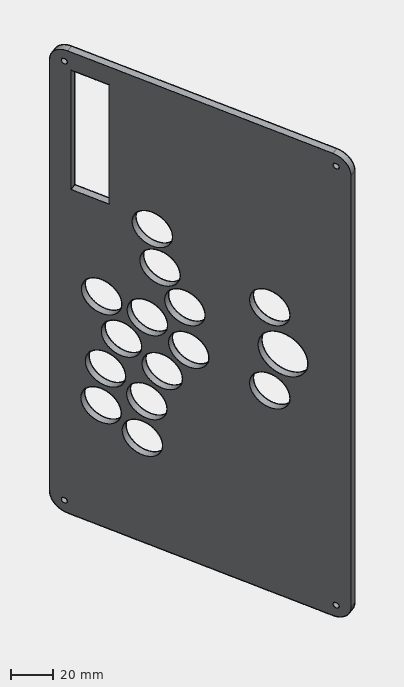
import cadquery as cq

width = 164.0
height = 300
thickness = 4.0
corner_radius = 10.0

screw_diameter = 3.3
screw_inset_x = 8.0
screw_inset_z = 7.5

window_width = 20.7
window_height = 77.5
window_center = (-60.0, 99.5)

button_diameter = 22.0
large_button_diameter = 27
left_button_centers = [
    (-26.0, 55.5),
    (-22.0, 32.5),
    (-8.5, 13.0),
    (-53.7, -1.0),
    (-28.8, -3.0),
    (-6.3, -13.8),
    (-43.0, -23.5),
    (-20.7, -34.2),
    (-51.5, -46.8),
    (-29.0, -57.5),
    (-54.0, -71.7),
    (-31.5, -82.5),
]
right_button_centers = [(37.8, 34.2), (37.8, -19.8)]
large_button_center = (45.0, 7.2)


def front_sketch():
    """Workplane on the plate's front face, with local axes along X and Z."""
    return cq.Workplane("XZ", origin=(0, -thickness / 2, 0))


def make_plate():
    plate = cq.Workplane("XY").box(width, thickness, height)
    return plate.edges("|Y").fillet(corner_radius)


def round_holes(centers, diameter):
    """Cutters through the full thickness of the plate."""
    return front_sketch().pushPoints(centers).circle(diameter / 2).extrude(-thickness)


def window():
    return front_sketch().center(*window_center).rect(window_width, window_height).extrude(-thickness)


screw_x = width / 2 - screw_inset_x
screw_z = height / 2 - screw_inset_z
screw_centers = [(side * screw_x, end * screw_z) for side in (-1, 1) for end in (-1, 1)]

result = (
    make_plate()
    .cut(window())
    .cut(round_holes(screw_centers, screw_diameter))
    .cut(round_holes(left_button_centers + right_button_centers, button_diameter))
    .cut(round_holes([large_button_center], large_button_diameter))
)